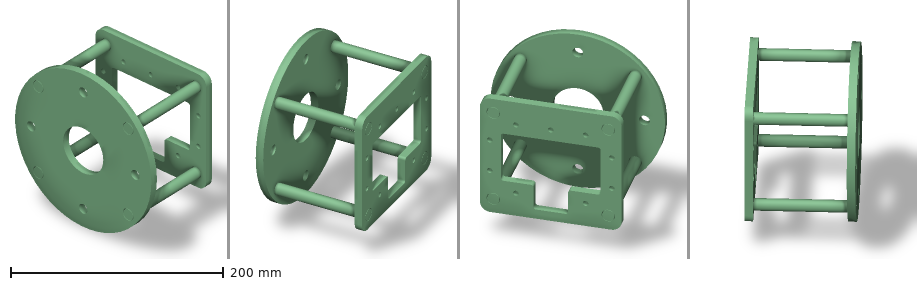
import cadquery as cq

total_depth = 105.0
plate_thickness = 8.0
back_plate_front = total_depth - plate_thickness

disk_diameter = 170.0
center_bore_diameter = 50.0
mount_hole_diameter = 10.5
mount_hole_offset = 65.0

back_width = 138.0
back_height = 126.5
back_corner_radius = 10.0
window_width = 97.2
window_height = 52.5
window_corner_radius = 2.5
notch_width = 34.0
notch_bottom = -53.0
small_hole_diameter = 5.5
small_hole_pitch = 34.0
small_hole_row = 38.0
small_hole_column = 59.5

rod_diameter = 11.9
rod_hole_diameter = 13.0
rod_spacing_x = 112.2
rod_spacing_z = 95.9

rod_centers = [
    (side * rod_spacing_x / 2, level * rod_spacing_z / 2)
    for side in (-1, 1)
    for level in (-1, 1)
]


def xz_plane(y):
    """Workplane at depth y: local x is X, local y is Z; extrude by a negative length to go toward +Y."""
    return cq.Workplane("XZ", origin=(0, y, 0))


def cylinders(y, length, diameter, centers):
    """Equal round bars running from depth y toward +Y."""
    return xz_plane(y).pushPoints(centers).circle(diameter / 2).extrude(-length)


def make_front_disk():
    disk = xz_plane(0).circle(disk_diameter / 2).extrude(-plate_thickness)
    mount_centers = [
        (-mount_hole_offset, 0),
        (mount_hole_offset, 0),
        (0, -mount_hole_offset),
        (0, mount_hole_offset),
    ]
    disk = disk.cut(cylinders(0, plate_thickness, center_bore_diameter, [(0, 0)]))
    disk = disk.cut(cylinders(0, plate_thickness, mount_hole_diameter, mount_centers))
    return disk.cut(cylinders(0, plate_thickness, rod_hole_diameter, rod_centers))


def make_window():
    """Wide opening with a narrower notch running down from its lower edge."""
    wide = xz_plane(back_plate_front).rect(window_width, window_height).extrude(-plate_thickness)
    notch = (
        xz_plane(back_plate_front)
        .center(0, notch_bottom / 2)
        .rect(notch_width, -notch_bottom)
        .extrude(-plate_thickness)
    )
    return wide.union(notch).edges("|Y").fillet(window_corner_radius)


def make_back_plate():
    plate = (
        xz_plane(back_plate_front)
        .rect(back_width, back_height)
        .extrude(-plate_thickness)
        .edges("|Y")
        .fillet(back_corner_radius)
    )
    upper_row = [(step * small_hole_pitch, small_hole_row) for step in (-1, 0, 1)]
    lower_row = [(side * small_hole_pitch, -small_hole_row) for side in (-1, 1)]
    columns = [
        (side * small_hole_column, level * small_hole_pitch / 2)
        for side in (-1, 1)
        for level in (-1, 1)
    ]
    small_centers = upper_row + lower_row + columns
    plate = plate.cut(make_window())
    plate = plate.cut(cylinders(back_plate_front, plate_thickness, small_hole_diameter, small_centers))
    return plate.cut(cylinders(back_plate_front, plate_thickness, rod_hole_diameter, rod_centers))


def make_rod(center):
    """One rod, flush with the outer faces of both plates."""
    return cylinders(0, total_depth, rod_diameter, [center])


front_disk = make_front_disk()
back_plate = make_back_plate()
rods = [make_rod(center) for center in rod_centers]

result = cq.Compound.makeCompound([front_disk.val(), back_plate.val(), *[rod.val() for rod in rods]])